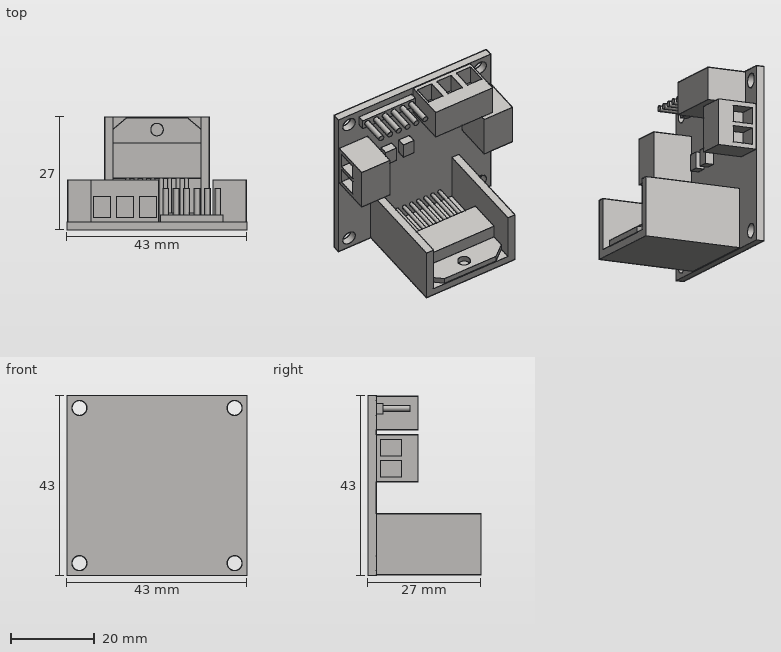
import cadquery as cq


BOARD_SIDE = 43.0
BOARD_THICKNESS = 2.0
MOUNT_HOLE_DIAMETER = 3.5
MOUNT_HOLE_INSET = 3.0

TERMINAL_HEIGHT = 10.0
TERMINAL_DEPTH = 8.0
TERMINAL_EDGE_GAP = 0.2
WIRE_POCKET_WIDTH = 4.0
WIRE_POCKET_HEIGHT = 5.0
WIRE_POCKET_LIFT = 1.0
WIRE_POCKET_DEPTH = 5.0
THREE_WAY_LEFT = 5.8
THREE_WAY_LENGTH = 16.1
THREE_WAY_PITCH = 5.5
THREE_WAY_COUNT = 3
TWO_WAY_BOTTOM = 22.4
TWO_WAY_LENGTH = 11.25
TWO_WAY_PITCH = 5.0
TWO_WAY_COUNT = 2

SINK_WIDTH = 25.0
SINK_LEFT = 9.0
SINK_HEIGHT = 25.0
SINK_BOTTOM = 0.2
SINK_DEPTH = 14.6
SINK_WALL = 2.0

TAB_BOTTOM = 12.3
TAB_TOP = 26.8
TAB_THICKNESS = 1.5
TAB_CHAMFER_WIDTH = 3.25
TAB_CHAMFER_HEIGHT = 2.75
TAB_HOLE_DIAMETER = 3.0
TAB_HOLE_Y = 24.0
BODY_BOTTOM = 12.5
BODY_TOP = 20.8
BODY_THICKNESS = 3.5
CHIP_LEAD_DIAMETER = 1.0
CHIP_LEAD_PITCH = 2.0
CHIP_LEAD_COUNT = 8

HEADER_LEFT = 22.33
HEADER_PITCH = 2.48
HEADER_PIN_COUNT = 6
HEADER_BASE_HEIGHT = 1.65
HEADER_BASE_DEPTH = 2.5
HEADER_PIN_DIAMETER = 1.4
HEADER_PIN_TIP = 10.0
HEADER_CENTRE_Z = 39.85

SMALL_PART_CENTRES_X = (24.5, 29.5)
SMALL_PART_WIDTH = 3.0
SMALL_PART_HEIGHT = 2.1
SMALL_PART_DEPTH = 4.0
SMALL_PART_BOTTOM = 24.0


def block(x, y, z, width, height, depth):
    """Box with its lowest corner at (x, y, z), sized along X, Y and Z."""
    return cq.Workplane("XY").box(width, height, depth, centered=False).translate((x, y, z))


def rod(x, z, y_start, y_end, diameter):
    """Round bar along Y."""
    return (
        cq.Workplane("XZ", origin=(x, y_start, z))
        .circle(diameter / 2)
        .extrude(y_start - y_end)
    )


def centred_row(centre, pitch, count):
    """Evenly spaced positions about a centre."""
    first = centre - pitch * (count - 1) / 2
    return [first + pitch * i for i in range(count)]


def board():
    plate = block(0, 0, 0, BOARD_SIDE, BOARD_THICKNESS, BOARD_SIDE)
    hole_places = (MOUNT_HOLE_INSET, BOARD_SIDE - MOUNT_HOLE_INSET)
    for x in hole_places:
        for z in hole_places:
            plate = plate.cut(rod(x, z, 0, BOARD_THICKNESS, MOUNT_HOLE_DIAMETER))
    return plate


def three_way_terminal():
    top = BOARD_SIDE - TERMINAL_EDGE_GAP
    body = block(
        THREE_WAY_LEFT, BOARD_THICKNESS, top - TERMINAL_DEPTH,
        THREE_WAY_LENGTH, TERMINAL_HEIGHT, TERMINAL_DEPTH,
    )
    for x in centred_row(THREE_WAY_LEFT + THREE_WAY_LENGTH / 2, THREE_WAY_PITCH, THREE_WAY_COUNT):
        body = body.cut(block(
            x - WIRE_POCKET_WIDTH / 2, BOARD_THICKNESS + WIRE_POCKET_LIFT, top - WIRE_POCKET_DEPTH,
            WIRE_POCKET_WIDTH, WIRE_POCKET_HEIGHT, WIRE_POCKET_DEPTH,
        ))
    return body


def left_two_way_terminal():
    body = block(
        TERMINAL_EDGE_GAP, BOARD_THICKNESS, TWO_WAY_BOTTOM,
        TERMINAL_DEPTH, TERMINAL_HEIGHT, TWO_WAY_LENGTH,
    )
    for z in centred_row(TWO_WAY_BOTTOM + TWO_WAY_LENGTH / 2, TWO_WAY_PITCH, TWO_WAY_COUNT):
        body = body.cut(block(
            TERMINAL_EDGE_GAP, BOARD_THICKNESS + WIRE_POCKET_LIFT, z - WIRE_POCKET_WIDTH / 2,
            WIRE_POCKET_DEPTH, WIRE_POCKET_HEIGHT, WIRE_POCKET_WIDTH,
        ))
    return body


def right_two_way_terminal():
    return left_two_way_terminal().mirror("YZ", (BOARD_SIDE / 2, 0, 0))


def heat_sink():
    outer = block(
        SINK_LEFT, BOARD_THICKNESS, SINK_BOTTOM,
        SINK_WIDTH, SINK_HEIGHT, SINK_DEPTH,
    )
    channel = block(
        SINK_LEFT + SINK_WALL, BOARD_THICKNESS, SINK_BOTTOM + SINK_WALL,
        SINK_WIDTH - 2 * SINK_WALL, SINK_HEIGHT, SINK_DEPTH - SINK_WALL,
    )
    return outer.cut(channel)


def chip():
    left = SINK_LEFT + SINK_WALL
    right = SINK_LEFT + SINK_WIDTH - SINK_WALL
    centre = (left + right) / 2
    back = SINK_BOTTOM + SINK_WALL

    tab = (
        cq.Workplane("XY", origin=(0, 0, back))
        .moveTo(left, TAB_BOTTOM)
        .lineTo(right, TAB_BOTTOM)
        .lineTo(right, TAB_TOP - TAB_CHAMFER_HEIGHT)
        .lineTo(right - TAB_CHAMFER_WIDTH, TAB_TOP)
        .lineTo(left + TAB_CHAMFER_WIDTH, TAB_TOP)
        .lineTo(left, TAB_TOP - TAB_CHAMFER_HEIGHT)
        .close()
        .extrude(TAB_THICKNESS)
    )
    tab_hole = (
        cq.Workplane("XY", origin=(centre, TAB_HOLE_Y, back))
        .circle(TAB_HOLE_DIAMETER / 2)
        .extrude(TAB_THICKNESS)
    )
    body_back = back + TAB_THICKNESS
    body = block(
        left, BODY_BOTTOM, body_back,
        right - left, BODY_TOP - BODY_BOTTOM, BODY_THICKNESS,
    )
    package = tab.cut(tab_hole).union(body)

    lead_z = body_back + BODY_THICKNESS / 2
    for x in centred_row(centre, CHIP_LEAD_PITCH, CHIP_LEAD_COUNT):
        package = package.union(rod(x, lead_z, BOARD_THICKNESS, BODY_BOTTOM, CHIP_LEAD_DIAMETER))
    return package


def control_header():
    length = HEADER_PITCH * HEADER_PIN_COUNT
    header = block(
        HEADER_LEFT, BOARD_THICKNESS, HEADER_CENTRE_Z - HEADER_BASE_DEPTH / 2,
        length, HEADER_BASE_HEIGHT, HEADER_BASE_DEPTH,
    )
    for x in centred_row(HEADER_LEFT + length / 2, HEADER_PITCH, HEADER_PIN_COUNT):
        header = header.union(
            rod(x, HEADER_CENTRE_Z, BOARD_THICKNESS, HEADER_PIN_TIP, HEADER_PIN_DIAMETER)
        )
    return header


def small_part(centre_x):
    return block(
        centre_x - SMALL_PART_WIDTH / 2, BOARD_THICKNESS, SMALL_PART_BOTTOM,
        SMALL_PART_WIDTH, SMALL_PART_HEIGHT, SMALL_PART_DEPTH,
    )


components = [
    three_way_terminal(),
    left_two_way_terminal(),
    right_two_way_terminal(),
    heat_sink(),
    chip(),
    control_header(),
]
components += [small_part(x) for x in SMALL_PART_CENTRES_X]

result = board()
for component in components:
    result = result.union(component)